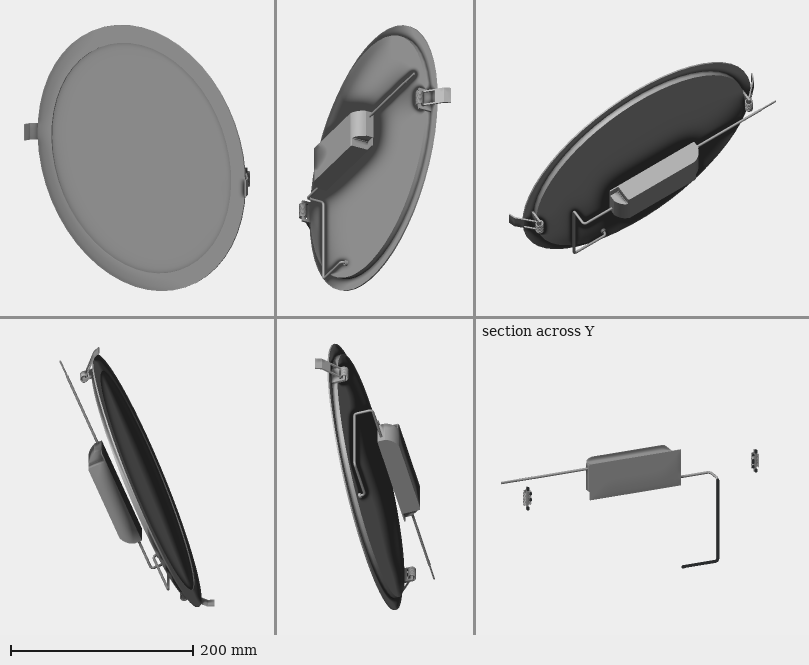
import cadquery as cq
import math


flange_diameter = 300.0
flange_thickness = 1.5
window_diameter = 260.0
window_recess = 1.3
housing_diameter = 274.0
housing_back = 7.7

bracket_width = 26.0
bracket_thickness = 2.2
bracket_sink = 0.3
bracket_top = 17.3
bracket_bar = 2.5
bracket_window_bottom = 10.5
bracket_window_width = 19.2
bracket_face_x = housing_diameter / 2 - bracket_sink + bracket_thickness
bracket_middle_x = bracket_face_x - bracket_thickness / 2

driver_length = 110.5
driver_width = 42.0
driver_bottom = 30.5
driver_top = 52.0
driver_shoulder = 12.5
driver_shoulder_radius = 19.2
driver_base_thickness = 1.3
notch_length = 10.5
notch_width = 9.0
notch_step = 1.0
end_plate_thickness = 1.0
end_plate_top_gap = 1.0
driver_end_x = driver_length / 2
shoulder_y = driver_top - driver_shoulder

cable_diameter = 3.0
cable_bend_radius = 3.2
cable_overlap = 1.5
cable_y = 35.0
mains_cable_z = 14.8
mains_cable_end_x = -141.5
tail_end_x = -160.5
tail_thickness = 2.0
lamp_cable_z = -12.8
lamp_cable_x = 91.8
lamp_cable_low_y = 14.8
grommet_diameter = 6.0
grommet_height = 3.0
grommet_x = 49.5
grommet_z = -110.0

coil_diameter = 9.0
coil_wire_diameter = 1.3
coil_pitch = 1.4
coil_length = 16.0
coil_y = 16.0
flap_width = 18.5
flap_thickness = 1.5
flap_arm_width = 2.0
flap_window_edge_x = -150.0
flap_outer_x = -160.5
flap_lowest_y = -11.5
flap_tip_length = 7.5
flap_tip_angle = math.radians(20)
flap_arm_length = 23.7
flap_arm_angle = math.radians(45)


def y_cylinder(diameter, y_start, y_end, x=0, z=0):
    """Cylinder along Y between two Y positions."""
    return cq.Workplane(cq.Solid.makeCylinder(
        diameter / 2, y_end - y_start, cq.Vector(x, y_start, z), cq.Vector(0, 1, 0)))


def block(x_range, y_range, z_range):
    """Box given by its limits along X, Y and Z."""
    corner = cq.Vector(x_range[0], y_range[0], z_range[0])
    return cq.Workplane(cq.Solid.makeBox(
        x_range[1] - x_range[0], y_range[1] - y_range[0], z_range[1] - z_range[0], corner))


def rounded_path(points, radius):
    """Wire through the points, with each square corner rounded to the radius."""
    corners = [cq.Vector(*point) for point in points]
    edges = []
    start = corners[0]
    for before, corner, after in zip(corners, corners[1:], corners[2:]):
        incoming = (corner - before).normalized()
        outgoing = (after - corner).normalized()
        arc_start = corner - incoming * radius
        arc_end = corner + outgoing * radius
        arc_middle = corner + (outgoing - incoming) * (radius * (1 - math.sqrt(0.5)))
        edges.append(cq.Edge.makeLine(start, arc_start))
        edges.append(cq.Edge.makeThreePointArc(arc_start, arc_middle, arc_end))
        start = arc_end
    edges.append(cq.Edge.makeLine(start, corners[-1]))
    return cq.Wire.assembleEdges(edges)


def make_disc():
    """Flange and housing with the shallow round window in the front."""
    flange = y_cylinder(flange_diameter, 0, flange_thickness)
    housing = y_cylinder(housing_diameter, 0, housing_back)
    window = y_cylinder(window_diameter, 0, window_recess)
    return flange.union(housing).cut(window)


def make_bracket(side):
    """Upright plate on the flange, sunk slightly into the housing wall, whose window
    leaves a bar that passes through the spring coil.
    """
    outer_x = side * bracket_face_x
    inner_x = side * (bracket_face_x - bracket_thickness)
    x_range = sorted((outer_x, inner_x))
    plate = block(x_range, (flange_thickness, bracket_top), (-bracket_width / 2, bracket_width / 2))
    window = block(
        x_range,
        (bracket_window_bottom, bracket_top - bracket_bar),
        (-bracket_window_width / 2, bracket_window_width / 2))
    return plate.cut(window)


def make_driver():
    """Driver box with arched shoulders and a terminal notch at two opposite corners."""
    driver = (
        cq.Workplane("XY", origin=(0, 0, -driver_width / 2))
        .moveTo(-driver_end_x, driver_bottom)
        .lineTo(driver_end_x, driver_bottom)
        .lineTo(driver_end_x, shoulder_y)
        .radiusArc((driver_end_x - driver_shoulder, driver_top), -driver_shoulder_radius)
        .lineTo(-driver_end_x + driver_shoulder, driver_top)
        .radiusArc((-driver_end_x, shoulder_y), -driver_shoulder_radius)
        .close()
        .extrude(driver_width)
    )
    notch_y = (driver_bottom + driver_base_thickness, driver_top)
    for length, width in (
        (notch_length, notch_width),
        (notch_length - notch_step, notch_width + notch_step),
    ):
        right_notch = block(
            (driver_end_x - length, driver_end_x),
            notch_y,
            (driver_width / 2 - width, driver_width / 2))
        left_notch = right_notch.rotate((0, 0, 0), (0, 1, 0), 180)
        driver = driver.cut(right_notch).cut(left_notch)
    end_plate_bottom = driver_width / 2 - notch_width - notch_step
    end_plate = block(
        (-driver_end_x - end_plate_thickness, -driver_end_x),
        (driver_bottom, shoulder_y),
        (-end_plate_bottom, driver_width / 2 - end_plate_top_gap))
    return driver.union(end_plate)


def make_mains_cable():
    """Straight round cable on the -X side of the driver, ending in an oval tail."""
    cable = (
        cq.Workplane("YZ", origin=(mains_cable_end_x, cable_y, mains_cable_z))
        .circle(cable_diameter / 2)
        .extrude(-driver_end_x - mains_cable_end_x)
    )
    tail = (
        cq.Workplane("YZ", origin=(tail_end_x, cable_y, mains_cable_z))
        .ellipse(tail_thickness / 2, cable_diameter / 2)
        .extrude(mains_cable_end_x - tail_end_x + cable_overlap)
    )
    return cable.union(tail)


def make_lamp_cable():
    """Bent round cable from the driver down to the grommet on the housing back."""
    start_x = driver_end_x - cable_overlap
    path = rounded_path(
        [
            (start_x, cable_y, lamp_cable_z),
            (lamp_cable_x, cable_y, lamp_cable_z),
            (lamp_cable_x, lamp_cable_low_y, lamp_cable_z),
            (lamp_cable_x, lamp_cable_low_y, grommet_z),
            (grommet_x, lamp_cable_low_y, grommet_z),
            (grommet_x, housing_back, grommet_z),
        ],
        cable_bend_radius,
    )
    cable = (
        cq.Workplane("YZ", origin=(start_x, cable_y, lamp_cable_z))
        .circle(cable_diameter / 2)
        .sweep(cq.Workplane(path))
    )
    grommet = y_cylinder(
        grommet_diameter, housing_back, housing_back + grommet_height, grommet_x, grommet_z)
    return cable.union(grommet)


def make_lamp():
    """Disc, brackets, driver and cables as one connected body."""
    lamp = make_disc()
    for side in (-1, 1):
        lamp = lamp.union(make_bracket(side))
    lamp = lamp.union(make_lamp_cable())
    return lamp.union(make_driver()).union(make_mains_cable())


def make_coil():
    """Helical spring around the bracket bar on the -X side."""
    coil_radius = (coil_diameter - coil_wire_diameter) / 2
    start_z = -coil_length / 2
    helix = cq.Wire.makeHelix(
        coil_pitch, coil_length, coil_radius, cq.Vector(-bracket_middle_x, coil_y, start_z))
    return (
        cq.Workplane("XZ", origin=(-bracket_middle_x + coil_radius, coil_y, start_z))
        .circle(coil_wire_diameter / 2)
        .sweep(cq.Workplane(helix), isFrenet=True)
    )


def lean_direction(angle):
    """Unit vector at the angle from +Y toward +X."""
    return cq.Vector(math.sin(angle), math.cos(angle))


def sheet_side(start, end):
    """Unit vector square to the line from start to end, in the XY plane."""
    along = (end - start).normalized()
    return cq.Vector(along.y, -along.x)


def make_flap():
    """Bent sheet that presses outward, with two arms reaching the ends of the coil."""
    half = flap_thickness / 2
    flap_tip = cq.Vector(
        flap_outer_x + half * math.cos(flap_tip_angle),
        flap_lowest_y + half * math.sin(flap_tip_angle))
    flap_bend = flap_tip + lean_direction(flap_tip_angle) * flap_tip_length
    flap_root = flap_bend + lean_direction(flap_arm_angle) * flap_arm_length
    root_side = sheet_side(flap_root, flap_bend)
    tip_side = sheet_side(flap_bend, flap_tip)
    bend_side = (root_side + tip_side) / (1 + root_side.dot(tip_side))
    stations = [(flap_root, root_side), (flap_bend, bend_side), (flap_tip, tip_side)]
    outer = [point + side * half for point, side in stations]
    inner = [point - side * half for point, side in stations]
    flap = (
        cq.Workplane("XY", origin=(0, 0, -flap_width / 2))
        .polyline([point.toTuple()[:2] for point in outer + inner[::-1]])
        .close()
        .extrude(flap_width)
    )
    arm_inner_z = flap_width / 2 - flap_arm_width
    window = block(
        (flap_window_edge_x, -bracket_middle_x), (0, bracket_top), (-arm_inner_z, arm_inner_z))
    return flap.cut(window)


def make_clip():
    """Spring clip of the -X side: coil and flap in one piece."""
    return make_coil().union(make_flap())


lamp = make_lamp()
left_clip = make_clip()
clips = [left_clip, left_clip.mirror("YZ")]

result = cq.Compound.makeCompound([lamp.val(), *[clip.val() for clip in clips]])